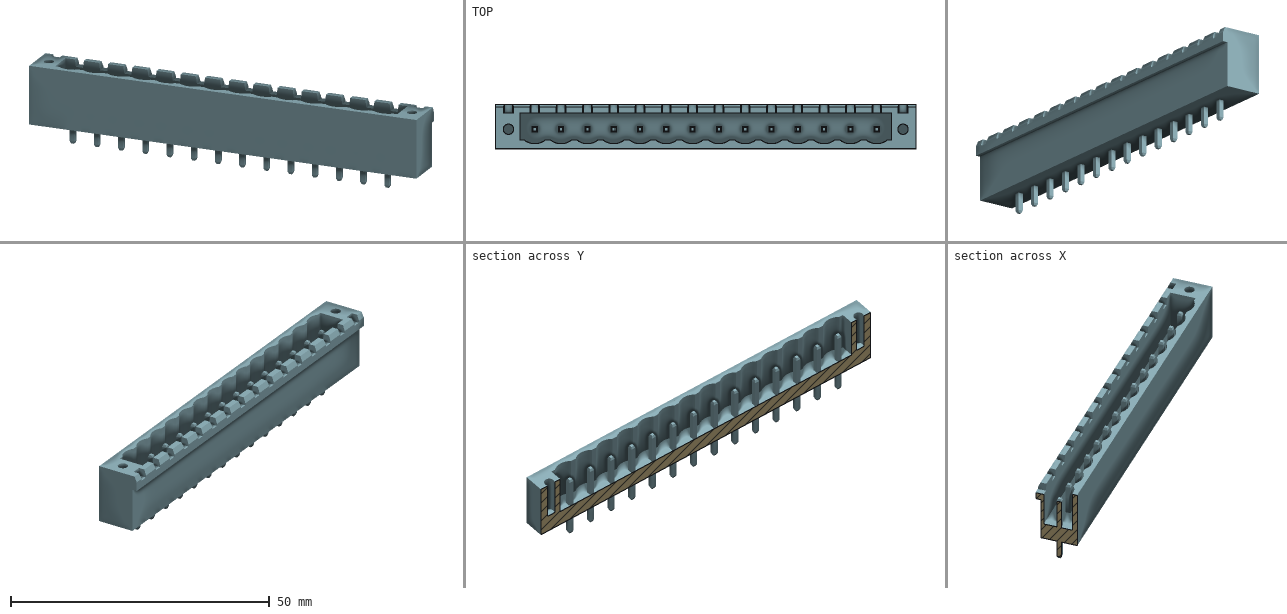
import cadquery as cq

pitch = 5.08
pin_count = 14

body_length = (pin_count + 2) * pitch
body_depth = 7.6
body_height = 12.0

lip_overhang = 1.0
lip_height = 3.0
lip_bevel_depth = 0.5
lip_bevel_height = 1.1

end_wall = 4.75
cavity_front = 1.7
cavity_back = 6.9
cavity_depth = 8.5
scallop_chord = 4.0
scallop_sag = 0.7

notch_top_width = 1.9
notch_floor_width = 1.5
notch_depth = 1.5

flange_hole_diameter = 2.0
flange_hole_depth = 8.0

pin_size = 1.0
pin_y = 3.8
pin_tail = 4.0
pin_top_below_rim = 2.0
tip_height = 0.5
tip_inset = 0.2

row_start = -(pin_count - 1) * pitch / 2
pin_positions = [row_start + i * pitch for i in range(pin_count)]
flange_positions = [row_start - pitch, -row_start + pitch]
back_face = body_depth + lip_overhang
cavity_floor = body_height - cavity_depth


def make_housing():
    """Housing profile in the YZ plane, extruded along the row."""
    profile = [
        (0, 0),
        (body_depth, 0),
        (body_depth, body_height - lip_height),
        (back_face, body_height - lip_height),
        (back_face, body_height - lip_bevel_height),
        (back_face - lip_bevel_depth, body_height),
        (0, body_height),
    ]
    return cq.Workplane("YZ").polyline(profile).close().extrude(body_length / 2, both=True)


def make_cavity():
    """Pocket for the mating plug, with one front scallop per contact."""
    half_length = body_length / 2 - end_wall
    half_chord = scallop_chord / 2
    outline = cq.Workplane("XY", origin=(0, 0, cavity_floor)).moveTo(-half_length, cavity_front)
    for x in pin_positions:
        outline = outline.lineTo(x - half_chord, cavity_front)
        outline = outline.threePointArc(
            (x, cavity_front - scallop_sag),
            (x + half_chord, cavity_front),
        )
    outline = outline.lineTo(half_length, cavity_front)
    outline = outline.lineTo(half_length, cavity_back).lineTo(-half_length, cavity_back)
    return outline.close().extrude(cavity_depth)


def make_notch(x):
    """Tapered notch in the rear rim at one contact or flange position."""
    half_top = notch_top_width / 2
    half_floor = notch_floor_width / 2
    profile = [
        (x - half_top, body_height),
        (x - half_floor, body_height - notch_depth),
        (x + half_floor, body_height - notch_depth),
        (x + half_top, body_height),
    ]
    return (
        cq.Workplane("XZ", origin=(0, cavity_back, 0))
        .polyline(profile)
        .close()
        .extrude(cavity_back - back_face)
    )


def make_flange_hole(x):
    """Blind vertical hole in one end block."""
    start = (x, pin_y, body_height - flange_hole_depth)
    return cq.Workplane("XY", origin=start).circle(flange_hole_diameter / 2).extrude(flange_hole_depth)


def make_pin(x):
    """Square contact pin with tapered tips at both ends."""
    tip_size = pin_size - 2 * tip_inset
    shank_bottom = tip_height - pin_tail
    shank_top = body_height - pin_top_below_rim - tip_height
    shank = (
        cq.Workplane("XY", origin=(x, pin_y, shank_bottom))
        .rect(pin_size, pin_size)
        .extrude(shank_top - shank_bottom)
    )
    for end, direction in ((shank_bottom, -1), (shank_top, 1)):
        tip = (
            cq.Workplane("XY", origin=(x, pin_y, end))
            .rect(pin_size, pin_size)
            .workplane(offset=direction * tip_height)
            .rect(tip_size, tip_size)
            .loft(ruled=True)
        )
        shank = shank.union(tip)
    return shank


result = make_housing().cut(make_cavity())
for x in pin_positions + flange_positions:
    result = result.cut(make_notch(x))
for x in flange_positions:
    result = result.cut(make_flange_hole(x))
for x in pin_positions:
    result = result.union(make_pin(x))